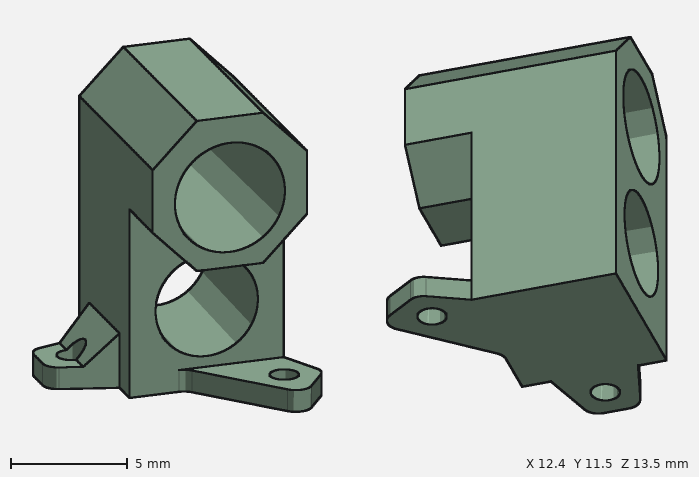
import cadquery as cq
import math

TURN_ANGLE = -40

HEIGHT = 13.5
WIDTH = 7.0
BARREL_LENGTH = 9.5
BLOCK_LENGTH = 6.51
BARREL_HEIGHT = 6.87
FACET = 2.0

UPPER_BORE_DIAMETER = 5
UPPER_BORE_Z = 9.81
LOWER_BORE_DIAMETER = 4.65
LOWER_BORE_Z = 3.81

EAR_THICKNESS = 1.0
EAR_HOLE_DIAMETER = 1.25
EAR_HOLE_MARGIN = 1.5
OVERLAP = 0.68

SIDE_EAR_ROOT = 3.92
SIDE_EAR_TIP = 2.21
SIDE_EAR_REACH = 2 * EAR_HOLE_MARGIN
SIDE_EAR_RADIUS = 0.7
GUSSET_HEIGHT = 2.5

END_EAR_HOLE = (BLOCK_LENGTH + 2.0, 6.32)
UPPER_EDGE_ANGLE = 26
TIP_EDGE_ANGLE = -35.5
LOWER_EDGE_ANGLE = 41.5
END_EAR_RADIUS = 0.7
ROOT_FILLET = 0.7


def make_body():
    bottom = HEIGHT - BARREL_HEIGHT
    block = cq.Workplane("XY").box(BLOCK_LENGTH, WIDTH, HEIGHT - FACET, centered=False)
    barrel = (
        cq.Workplane("XY", origin=(0, 0, bottom))
        .box(BARREL_LENGTH, WIDTH, BARREL_HEIGHT, centered=False)
        .edges("|X")
        .chamfer(FACET)
    )
    return block.union(barrel)


def bore(diameter, z):
    return cq.Workplane("YZ").center(WIDTH / 2, z).circle(diameter / 2).extrude(BARREL_LENGTH)


def ear_hole(x, y):
    return cq.Workplane("XY").center(x, y).circle(EAR_HOLE_DIAMETER / 2).extrude(GUSSET_HEIGHT)


def make_side_ear():
    middle = BLOCK_LENGTH / 2
    root = SIDE_EAR_ROOT / 2
    tip = SIDE_EAR_TIP / 2
    outline = (
        cq.Workplane("XY")
        .moveTo(middle - root, OVERLAP)
        .lineTo(middle - root, 0)
        .lineTo(middle - tip, -SIDE_EAR_REACH)
        .lineTo(middle + tip, -SIDE_EAR_REACH)
        .lineTo(middle + root, 0)
        .lineTo(middle + root, OVERLAP)
        .close()
        .extrude(GUSSET_HEIGHT)
        .edges("|Z and <Y")
        .fillet(SIDE_EAR_RADIUS)
    )
    gusset_reach = GUSSET_HEIGHT - EAR_THICKNESS
    side_profile = (
        cq.Workplane("YZ")
        .moveTo(OVERLAP, 0)
        .lineTo(-SIDE_EAR_REACH, 0)
        .lineTo(-SIDE_EAR_REACH, EAR_THICKNESS)
        .lineTo(-gusset_reach, EAR_THICKNESS)
        .lineTo(0, GUSSET_HEIGHT)
        .lineTo(OVERLAP, GUSSET_HEIGHT)
        .close()
        .extrude(BLOCK_LENGTH)
    )
    return outline.intersect(side_profile).cut(ear_hole(middle, -EAR_HOLE_MARGIN))


def edge_line(direction, side):
    """Point and unit direction of an ear edge; side is +1 when the edge lies left of the hole."""
    angle = math.radians(direction)
    dx, dy = math.cos(angle), math.sin(angle)
    x = END_EAR_HOLE[0] - side * dy * EAR_HOLE_MARGIN
    y = END_EAR_HOLE[1] + side * dx * EAR_HOLE_MARGIN
    return x, y, dx, dy


def crossing(first, second):
    """Point where two lines meet."""
    x1, y1, dx1, dy1 = first
    x2, y2, dx2, dy2 = second
    travel = ((x2 - x1) * dy2 - (y2 - y1) * dx2) / (dx1 * dy2 - dy1 * dx2)
    return x1 + travel * dx1, y1 + travel * dy1


def make_end_ear():
    upper = edge_line(UPPER_EDGE_ANGLE, 1)
    tip = edge_line(TIP_EDGE_ANGLE, 1)
    lower = edge_line(LOWER_EDGE_ANGLE, -1)
    wall = (BLOCK_LENGTH, 0, 0, 1)
    upper_root = crossing(upper, wall)
    lower_root = crossing(lower, wall)
    ear = (
        cq.Workplane("XY")
        .polyline([upper_root, crossing(upper, tip), crossing(tip, lower), lower_root])
        .close()
        .extrude(EAR_THICKNESS)
        .edges("|Z and (not <X)")
        .fillet(END_EAR_RADIUS)
    )

    slope = math.radians(LOWER_EDGE_ANGLE)
    half_turn = (math.pi / 2 - slope) / 2
    tangent_length = ROOT_FILLET * math.tan(half_turn)
    centre_x = BLOCK_LENGTH + ROOT_FILLET
    centre_y = lower_root[1] - tangent_length
    wall_tangent = (BLOCK_LENGTH, centre_y)
    arc_middle_angle = math.pi - half_turn
    arc_middle = (
        centre_x + ROOT_FILLET * math.cos(arc_middle_angle),
        centre_y + ROOT_FILLET * math.sin(arc_middle_angle),
    )
    edge_tangent = (
        lower_root[0] + tangent_length * math.cos(slope),
        lower_root[1] + tangent_length * math.sin(slope),
    )
    blend = (
        cq.Workplane("XY")
        .moveTo(*wall_tangent)
        .threePointArc(arc_middle, edge_tangent)
        .lineTo(*lower_root)
        .close()
        .extrude(EAR_THICKNESS)
    )
    return ear.union(blend).cut(ear_hole(*END_EAR_HOLE))


part = make_body().union(make_side_ear()).union(make_end_ear())
part = part.cut(bore(UPPER_BORE_DIAMETER, UPPER_BORE_Z))
part = part.cut(bore(LOWER_BORE_DIAMETER, LOWER_BORE_Z))
result = part.rotate((0, 0, 0), (0, 0, 1), TURN_ANGLE)